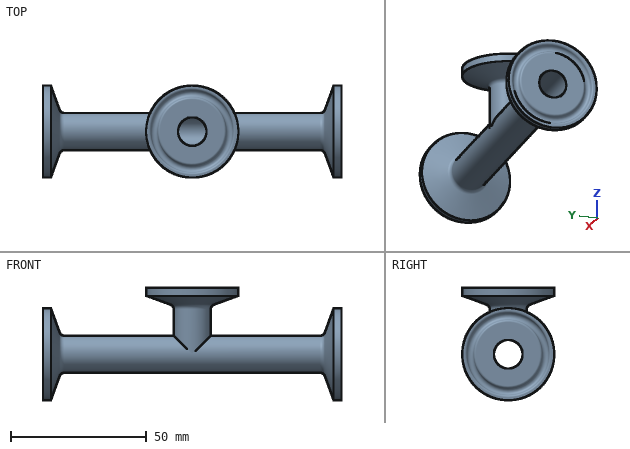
import cadquery as cq
import math

run_length = 110.0
flange_diameter = 34.0
overall_height = 41.5
tube_diameter = 13.8
bore_diameter = 10.5

flange_radius = flange_diameter / 2
tube_radius = tube_diameter / 2
branch_length = overall_height - flange_radius

rim_thickness = 3.0
cone_angle = math.radians(20)
neck_fillet = 1.8

groove_center_radius = 13.9
groove_half_width = 2.1
groove_round = 1.3
lip_round = 0.9


def arm(length):
    """Solid tube along +Z from the origin, ending in a grooved clamp ferrule."""
    cone_height = (flange_radius - tube_radius) * math.tan(cone_angle)
    neck_corner = length - rim_thickness - cone_height
    tangent_length = neck_fillet * math.tan(math.pi / 4 - cone_angle / 2)
    fillet_center_r = tube_radius + neck_fillet
    fillet_center_z = neck_corner - tangent_length
    fillet_mid_angle = math.pi / 4 + cone_angle / 2
    fillet_mid = (
        fillet_center_r - neck_fillet * math.sin(fillet_mid_angle),
        fillet_center_z + neck_fillet * math.cos(fillet_mid_angle),
    )
    fillet_end = (
        tube_radius + tangent_length * math.cos(cone_angle),
        neck_corner + tangent_length * math.sin(cone_angle),
    )

    center_distance = groove_round + lip_round
    center_rise = math.sqrt(center_distance**2 - groove_half_width**2)
    groove_center_z = length - lip_round + center_rise
    groove_bottom = (groove_center_radius, groove_center_z - groove_round)
    blend_offset = groove_half_width * groove_round / center_distance
    blend_z = groove_center_z - center_rise * groove_round / center_distance
    lip_turn = math.acos(center_rise / center_distance)
    lip_mid_offset = groove_half_width - lip_round * math.sin(lip_turn / 2)
    lip_mid_z = length - lip_round + lip_round * math.cos(lip_turn / 2)

    profile = (
        cq.Workplane("XZ")
        .lineTo(tube_radius, 0)
        .lineTo(tube_radius, fillet_center_z)
        .threePointArc(fillet_mid, fillet_end)
        .lineTo(flange_radius, length - rim_thickness)
        .lineTo(flange_radius, length)
        .lineTo(groove_center_radius + groove_half_width, length)
        .threePointArc(
            (groove_center_radius + lip_mid_offset, lip_mid_z),
            (groove_center_radius + blend_offset, blend_z),
        )
        .threePointArc(groove_bottom, (groove_center_radius - blend_offset, blend_z))
        .threePointArc(
            (groove_center_radius - lip_mid_offset, lip_mid_z),
            (groove_center_radius - groove_half_width, length),
        )
        .lineTo(0, length)
        .close()
    )
    return profile.revolve(360, (0, 0), (0, 1))


branch = arm(branch_length)
run_arm = arm(run_length / 2)
body = branch
for tilt in (90, -90):
    body = body.union(run_arm.rotate((0, 0, 0), (0, 1, 0), tilt))

run_bore = cq.Workplane("YZ").circle(bore_diameter / 2).extrude(run_length / 2, both=True)
branch_bore = cq.Workplane("XY").circle(bore_diameter / 2).extrude(branch_length)

result = body.cut(run_bore).cut(branch_bore)